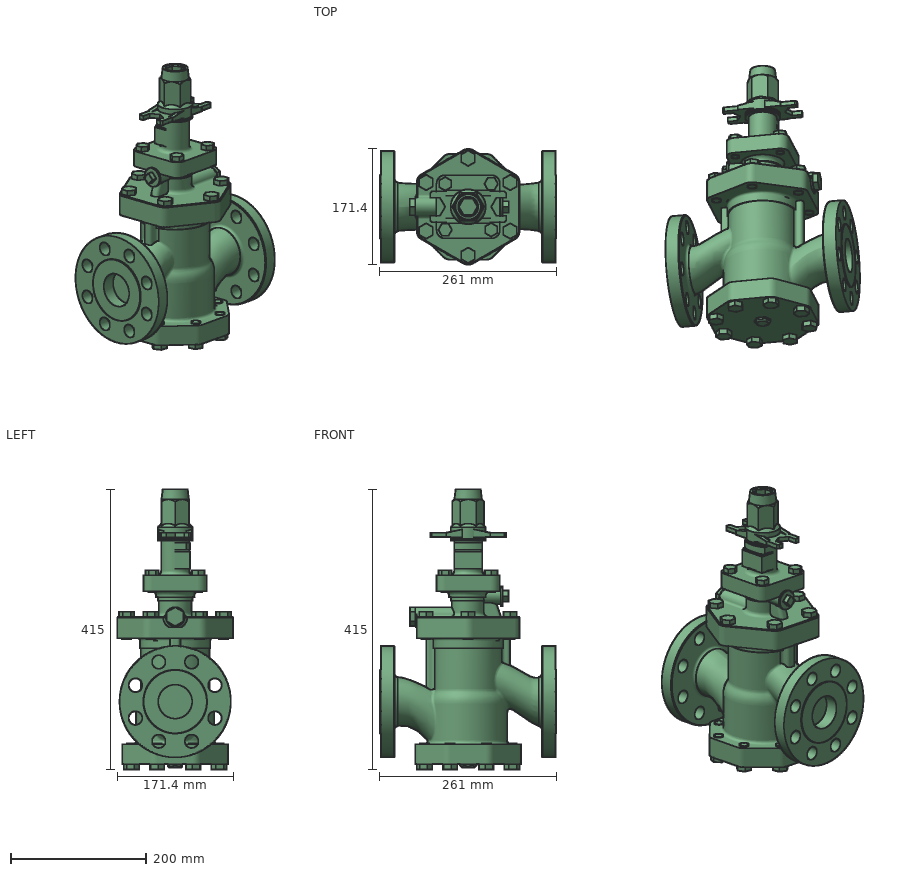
import cadquery as cq
import math

overall_height = 415.0
overall_length = 261.0
blend = 1.2

pipe_axis_z = 100.5
flange_dia = 165.0
flange_back_x = 108.5
raised_face_dia = 94.5
bore_dia = 50.0
bore_depth = 20.7
flange_hole_dia = 20.0
flange_hole_circle = 127.0
flange_hole_count = 8
pipe_radius = 36.5
hub_fillet = 4.5
pipe_root_fillet = 4.0

octagon_flats = 157.0
octagon_bottom_z = 8.0
octagon_top_z = 37.7
octagon_bolt_circle = 140.0
octagon_bolt_flats = 20.5
plug_flats = 21.5
plug_bottom_z = 2.5
plug_bottom_dia = 18.0
flange_corner_radius = 14.0

lower_radius = 58.0
upper_radius = 51.0
band_radius = 52.3
lower_fillet = 5.0
shoulder_start_z = 97.5
shoulder_middle_z = 113.0
shoulder_end_z = 119.0
band_z = 179.0
upper_fillet = 3.5
rib_reach = 62.2
rib_root_x = 49.8
rib_width = 15.0
rib_rounding = 4.5
rib_bottom_z = 116.0

hexagon_flats = 152.2
hexagon_bottom_z = 194.0
hexagon_seam_z = 210.7
hexagon_top_z = 226.0
hexagon_bolt_circle = 143.5
hexagon_bolt_flats = 20.0
hexagon_bolt_height = 7.5
large_bolt_tip_dia = 14.0

neck_radius = 24.5
neck_fillet = 6.2
neck_lip_z = 249.7
neck_lip_radius = 25.7
bowl_bottom_z = 255.0
bowl_bottom_radius = 28.5
bowl_top_radius = 32.5
square_side = 93.7
square_corner_radius = 13.0
square_bottom_z = 263.5
square_top_z = 287.5
square_bolt_offset = 34.0
square_bolt_flats = 17.5
square_bolt_height = 7.5
small_bolt_tip_dia = 12.0

inlet_boss_dia = 28.0
inlet_boss_end_x = 78.5
inlet_plug_end_x = 86.3
inlet_fillet = 4.5
outlet_boss_z = 256.5
outlet_boss_dia = 24.0
outlet_collar_dia = 29.0
outlet_collar_start_x = 48.5
outlet_boss_end_x = 51.5
outlet_plug_end_x = 59.7
outlet_plug_diagonal = 17.0
web_width = 15.0
web_top_x = 42.5
web_bottom_x = 48.5
web_rounding = 5.0

spindle_dia = 42.0
spindle_fillet = 6.2
plate_reach = 22.0
plate_bottom_z = 296.5
plate_groove_bottom_z = 322.5
plate_groove_top_z = 324.8
plate_top_z = 335.5
plate_groove_depth = 1.2
plate_edge_reach = 16.5

cap_bottom_z = 338.0
collar_dia = 52.0
collar_top_z = 358.5
collar_groove_bottom_z = 339.7
collar_groove_top_z = 341.5
collar_groove_depth = 1.0
cap_flats = 41.0
cap_cone_z = 399.5
cap_top_dia = 37.5
socket_flats = 24.0
socket_depth = 10.8
socket_chamfer = 2.0
handle_bottom_z = 344.0
handle_top_z = 350.5
handle_length = 112.0
handle_width = 45.5
handle_corner = 2.5
jaw_width = 26.5
jaw_root_x = 34.0
handle_rib_outer_y = 24.5
handle_rib_width = 8.0
handle_rib_inner_x = 7.0
handle_rib_outer_x = 32.5
handle_rib_high_z = 355.5


def corner_dia(flats, sides=6):
    """Diameter through the corners of a regular polygon given across its flats."""
    return flats / math.cos(math.pi / sides)


def prism(flats, z_low, z_high, sides=6, turn=0.0):
    """Upright regular prism on the Z axis; with turn = 0 it has a corner on +X."""
    return (
        cq.Workplane("XY").workplane(offset=z_low)
        .polygon(sides, corner_dia(flats, sides)).extrude(z_high - z_low)
        .rotate((0, 0, 0), (0, 0, 1), turn)
    )


def cylinder(dia, z_low, z_high):
    return cq.Workplane("XY").workplane(offset=z_low).circle(dia / 2).extrude(z_high - z_low)


def cylinder_x(dia, x_low, x_high, z):
    return (
        cq.Workplane("YZ").workplane(offset=x_low)
        .center(0, z).circle(dia / 2).extrude(x_high - x_low)
    )


def box(x_low, x_high, y_low, y_high, z_low, z_high):
    return cq.Workplane("XY").box(
        x_high - x_low, y_high - y_low, z_high - z_low, centered=False
    ).translate((x_low, y_low, z_low))


def turned(profile):
    """Solid of revolution about Z from a closed profile drawn as radius and height."""
    return profile.close().revolve(360, (0, 0, 0), (0, 1, 0))


def polar(circle_dia, count, start):
    """Points equally spaced on a circle, each with its angle."""
    points = []
    for i in range(count):
        angle = start + 360 * i / count
        x = circle_dia / 2 * math.cos(math.radians(angle))
        y = circle_dia / 2 * math.sin(math.radians(angle))
        points.append((x, y, angle))
    return points


def bottom_cover():
    cover = prism(octagon_flats, octagon_bottom_z, octagon_top_z, 8, 22.5)
    cover = cover.edges("|Z").fillet(flange_corner_radius)
    for x, y, angle in polar(octagon_bolt_circle, 8, 22.5):
        head = prism(octagon_bolt_flats, 0, octagon_bottom_z, 6, angle + 30)
        tip = cylinder(large_bolt_tip_dia, octagon_top_z, octagon_top_z + blend)
        cover = cover.union(head.translate((x, y, 0))).union(tip.translate((x, y, 0)))
    return cover.union(drain_plug())


def drain_plug():
    plug_corner_radius = corner_dia(plug_flats) / 2
    envelope = turned(
        cq.Workplane("XZ").moveTo(0, plug_bottom_z).lineTo(plug_bottom_dia / 2, plug_bottom_z)
        .lineTo(plug_corner_radius, octagon_bottom_z - blend)
        .lineTo(plug_corner_radius, octagon_bottom_z).lineTo(0, octagon_bottom_z)
    )
    return prism(plug_flats, plug_bottom_z, octagon_bottom_z).intersect(envelope)


def middle_flange():
    flange = prism(hexagon_flats, hexagon_bottom_z, hexagon_top_z, 6, 30)
    flange = flange.edges("|Z").fillet(flange_corner_radius).faces(">Z").edges().chamfer(blend)
    for x, y, angle in polar(hexagon_bolt_circle, 6, 30):
        head = prism(hexagon_bolt_flats, hexagon_top_z, hexagon_top_z + hexagon_bolt_height, 6, angle)
        tip = cylinder(large_bolt_tip_dia, hexagon_bottom_z - blend, hexagon_bottom_z)
        flange = flange.union(head.translate((x, y, 0))).union(tip.translate((x, y, 0)))
    return flange


def square_flange():
    half = square_side / 2
    flange = box(-half, half, -half, half, square_bottom_z, square_top_z)
    flange = flange.edges("|Z").fillet(square_corner_radius)
    for side_x in (-1, 1):
        for side_y in (-1, 1):
            place = (side_x * square_bolt_offset, side_y * square_bolt_offset, 0)
            turn = 0 if side_x == side_y else 30
            head = prism(square_bolt_flats, square_top_z, square_top_z + square_bolt_height, 6, turn)
            tip = cylinder(small_bolt_tip_dia, square_bottom_z - blend, square_bottom_z)
            flange = flange.union(head.translate(place)).union(tip.translate(place))
    return flange


def casting_barrel():
    """Stepped barrel between the bottom cover and the middle flange."""
    shoulder_share = (shoulder_middle_z - shoulder_start_z) / (shoulder_end_z - shoulder_start_z)
    shoulder_middle_radius = lower_radius - (lower_radius - upper_radius) * shoulder_share
    profile = cq.Workplane("XZ").moveTo(0, octagon_top_z).lineTo(lower_radius + lower_fillet, octagon_top_z)
    profile = profile.radiusArc((lower_radius, octagon_top_z + lower_fillet), lower_fillet)
    profile = profile.lineTo(lower_radius, shoulder_start_z)
    profile = profile.tangentArcPoint((shoulder_middle_radius, shoulder_middle_z), relative=False)
    profile = profile.tangentArcPoint((upper_radius, shoulder_end_z), relative=False)
    profile = profile.lineTo(upper_radius, band_z).lineTo(band_radius, band_z)
    profile = profile.lineTo(band_radius, hexagon_bottom_z - upper_fillet)
    profile = profile.radiusArc((band_radius + upper_fillet, hexagon_bottom_z), upper_fillet)
    return turned(profile.lineTo(0, hexagon_bottom_z))


def casting_ribs():
    """Rounded vertical ribs on the -X and +X sides of the barrel, with filleted roots."""
    flank = rib_width / 2
    root = flank + rib_rounding
    crown = flank - rib_rounding
    rib = (
        cq.Workplane("XY").workplane(offset=rib_bottom_z).moveTo(0, -root).lineTo(rib_root_x, -root)
        .radiusArc((rib_root_x + rib_rounding, -flank), rib_rounding)
        .lineTo(rib_reach - rib_rounding, -flank)
        .radiusArc((rib_reach, -crown), -rib_rounding)
        .lineTo(rib_reach, crown)
        .radiusArc((rib_reach - rib_rounding, flank), -rib_rounding)
        .lineTo(rib_root_x + rib_rounding, flank)
        .radiusArc((rib_root_x, root), rib_rounding)
        .lineTo(0, root).close().extrude(hexagon_bottom_z - rib_bottom_z)
    )
    return rib.union(rib.mirror("YZ"))


def pipe(sections):
    """Bent pipe through elliptical sections given as x, centre height, half height and half width."""
    wires = []
    for x, z, half_height, half_width in sections:
        plane = cq.Workplane("YZ").workplane(offset=x).center(0, z)
        wires.append(plane.ellipse(half_width, half_height).wires().val())
    outside_cover = box(
        -overall_length, overall_length, -flange_dia, flange_dia, octagon_top_z, hexagon_bottom_z
    )
    return cq.Workplane(cq.Solid.makeLoft(wires, False)).intersect(outside_cover)


def inlet_pipe():
    """Pipe from the inlet flange, bending down and widening into the barrel."""
    return pipe([
        (-flange_back_x, pipe_axis_z, pipe_radius, pipe_radius),
        (-84.0, 97.0, 35.0, 34.5),
        (-69.0, 88.8, 36.5, 34.0),
        (-49.8, 72.5, 43.5, 33.0),
        (-33.0, 56.0, 49.8, 32.5),
    ])


def outlet_pipe():
    """Pipe from the outlet flange, bending up into the barrel."""
    return pipe([
        (flange_back_x, pipe_axis_z, pipe_radius, pipe_radius),
        (93.7, 103.3, 34.0, 34.5),
        (81.5, 111.0, 32.8, 33.0),
        (70.5, 118.0, 32.5, 32.8),
        (49.8, 127.8, 31.5, 32.5),
        (25.0, 138.5, 31.0, 32.0),
    ])


def inlet_flange():
    face_x = -overall_length / 2
    flange = cylinder_x(flange_dia, face_x + blend, -flange_back_x, pipe_axis_z)
    flange = flange.faces(">X").edges().chamfer(blend)
    raised_face = cylinder_x(raised_face_dia, face_x, face_x + blend, pipe_axis_z)
    raised_face = raised_face.faces("<X").edges().chamfer(blend / 2)
    flange = flange.union(raised_face)
    hub = (
        cq.Workplane("XY", origin=(-flange_back_x, 0, pipe_axis_z)).lineTo(0, pipe_radius + hub_fillet)
        .radiusArc((hub_fillet, pipe_radius), -hub_fillet).lineTo(hub_fillet, 0)
        .close().revolve(360, (0, 0, 0), (1, 0, 0))
    )
    flange = flange.union(hub)
    for y, z, _ in polar(flange_hole_circle, flange_hole_count, 22.5):
        hole = cylinder_x(flange_hole_dia, face_x, -flange_back_x, pipe_axis_z + z)
        flange = flange.cut(hole.translate((0, y, 0)))
    return flange


def joined_with_fillet(base, branch, radius):
    """Union of two shapes with a fillet along the edges where their surfaces meet."""
    tolerance = 0.01
    joined = base.union(branch)

    def lies_on(edge, shape):
        for share in (0.3, 0.5, 0.7):
            point = cq.Vertex.makeVertex(*edge.positionAt(share).toTuple())
            if min(point.distance(face) for face in shape.faces().vals()) > tolerance:
                return False
        return True

    meeting = [edge for edge in joined.edges().vals() if lies_on(edge, base) and lies_on(edge, branch)]
    return joined.newObject(meeting).fillet(radius)


def casting():
    shape = joined_with_fillet(casting_barrel(), inlet_pipe(), pipe_root_fillet)
    shape = joined_with_fillet(shape, outlet_pipe(), pipe_root_fillet)
    shape = shape.union(casting_ribs())
    shape = shape.union(inlet_flange()).union(inlet_flange().mirror("YZ"))
    for end_x in (-overall_length / 2, overall_length / 2 - bore_depth):
        shape = shape.cut(cylinder_x(bore_dia, end_x, end_x + bore_depth, pipe_axis_z))
    return shape


def neck():
    """Neck that widens into a stepped bowl under the square flange."""
    profile = cq.Workplane("XZ").moveTo(0, hexagon_top_z).lineTo(neck_radius + neck_fillet, hexagon_top_z)
    profile = profile.radiusArc((neck_radius, hexagon_top_z + neck_fillet), neck_fillet)
    profile = profile.lineTo(neck_radius, neck_lip_z).lineTo(neck_lip_radius, neck_lip_z)
    profile = profile.lineTo(neck_lip_radius, bowl_bottom_z).lineTo(bowl_bottom_radius, bowl_bottom_z)
    profile = profile.radiusArc((bowl_top_radius, square_bottom_z), bowl_top_radius - bowl_bottom_radius + 4)
    return turned(profile.lineTo(0, square_bottom_z))


def inlet_boss():
    """Boss along -X, half sunk in the middle flange, with a hexagonal plug in its end."""
    radius = inlet_boss_dia / 2
    flange_face_x = hexagon_flats / 2
    foot_y = math.sqrt((radius + inlet_fillet) ** 2 - inlet_fillet ** 2)
    touch_share = radius / (radius + inlet_fillet)
    touch_y = foot_y * touch_share
    touch_z = inlet_fillet * touch_share
    boss = (
        cq.Workplane("YZ", origin=(-flange_face_x, 0, hexagon_top_z)).moveTo(-foot_y, 0)
        .radiusArc((-touch_y, touch_z), -inlet_fillet)
        .radiusArc((touch_y, touch_z), radius)
        .radiusArc((foot_y, 0), -inlet_fillet)
        .close().extrude(flange_face_x)
    )
    nose = cylinder_x(inlet_boss_dia, -inlet_boss_end_x, -flange_face_x, hexagon_top_z)
    flare = cq.Workplane("YZ").workplane(offset=-flange_face_x).center(0, hexagon_top_z)
    flare = flare.circle(foot_y).workplane(offset=flange_face_x - inlet_boss_end_x)
    flare = flare.circle(radius).loft()
    flare = flare.intersect(box(-overall_length, 0, -foot_y, foot_y, 0, hexagon_top_z))
    nose = nose.union(flare)
    nose = nose.intersect(box(-overall_length, 0, -foot_y, foot_y, hexagon_seam_z, square_top_z))
    plug = prism(inlet_boss_dia * math.cos(math.pi / 6), inlet_boss_end_x, inlet_plug_end_x)
    plug = plug.rotate((0, 0, 0), (0, 1, 0), -90).translate((0, 0, hexagon_top_z))
    return boss.union(nose).union(plug)


def outlet_boss():
    """Boss along +X under the square flange with a square plug, carried by a sloping web."""
    boss = cylinder_x(outlet_boss_dia, 0, outlet_boss_end_x, outlet_boss_z)
    collar = cylinder_x(outlet_collar_dia, outlet_collar_start_x, outlet_boss_end_x, outlet_boss_z)
    plug = cq.Workplane("YZ").workplane(offset=outlet_boss_end_x).center(0, outlet_boss_z)
    plug = plug.polygon(4, outlet_plug_diagonal).extrude(outlet_plug_end_x - outlet_boss_end_x)
    web = (
        cq.Workplane("XZ").moveTo(0, hexagon_top_z).lineTo(web_bottom_x, hexagon_top_z)
        .lineTo(web_top_x, outlet_boss_z - outlet_boss_dia / 2).lineTo(0, outlet_boss_z).close()
        .extrude(web_width / 2, both=True)
        .faces(">X").edges("not |Y").fillet(web_rounding)
    )
    return boss.union(collar).union(plug).union(web)


def spindle_housing():
    radius = spindle_dia / 2
    profile = cq.Workplane("XZ").moveTo(0, square_top_z).lineTo(radius + spindle_fillet, square_top_z)
    profile = profile.radiusArc((radius, square_top_z + spindle_fillet), spindle_fillet)
    return turned(profile.lineTo(radius, cap_bottom_z).lineTo(0, cap_bottom_z)).union(plate_pads())


def plate_pads():
    """Flat pad on the -Y side with a bowed pad above it, parted by a groove."""
    half = spindle_dia / 2
    inset = plate_groove_depth
    flat_pad = box(-half, half, -plate_reach, 0, plate_bottom_z, plate_groove_bottom_z)
    groove_floor = box(
        inset - half, half - inset, inset - plate_reach, 0, plate_groove_bottom_z, plate_groove_top_z
    )
    bowed_pad = (
        cq.Workplane("XY").workplane(offset=plate_groove_top_z).moveTo(-half, 0)
        .lineTo(-half, -plate_edge_reach).threePointArc((0, -plate_reach), (half, -plate_edge_reach))
        .lineTo(half, 0).close().extrude(plate_top_z - plate_groove_top_z)
    )
    return flat_pad.union(groove_floor).union(bowed_pad)


def cap_turned_envelope():
    """Cone and corner chamfers that trim the hexagonal part of the cap."""
    corner_radius = corner_dia(cap_flats) / 2
    flats_radius = cap_flats / 2
    return turned(
        cq.Workplane("XZ").moveTo(0, collar_top_z).lineTo(corner_radius, collar_top_z)
        .lineTo(corner_radius, cap_cone_z - corner_radius + flats_radius)
        .lineTo(flats_radius, cap_cone_z)
        .lineTo(cap_top_dia / 2, overall_height).lineTo(0, overall_height)
    )


def cap_collar():
    radius = collar_dia / 2
    flats_radius = cap_flats / 2
    return turned(
        cq.Workplane("XZ").moveTo(0, cap_bottom_z).lineTo(radius, cap_bottom_z)
        .lineTo(radius, collar_groove_bottom_z)
        .lineTo(radius - collar_groove_depth, collar_groove_bottom_z)
        .lineTo(radius - collar_groove_depth, collar_groove_top_z)
        .lineTo(radius, collar_groove_top_z).lineTo(radius, collar_top_z)
        .lineTo(flats_radius, collar_top_z + radius - flats_radius)
        .lineTo(0, collar_top_z + radius - flats_radius)
    )


def cap_socket():
    socket = prism(socket_flats, overall_height - socket_depth, overall_height)
    rim_radius = corner_dia(socket_flats) / 2
    mouth = cq.Workplane("XY").workplane(offset=overall_height).circle(rim_radius + socket_chamfer / 2)
    return socket.union(mouth.extrude(-socket_chamfer, taper=45))


def handle_plate():
    half_length = handle_length / 2
    half_width = handle_width / 2
    plate = box(-half_length, half_length, -half_width, half_width, handle_bottom_z, handle_top_z)
    plate = plate.edges("|Z").chamfer(handle_corner)
    half_jaw = jaw_width / 2
    jaw_flat_x = jaw_root_x + half_jaw / math.tan(math.radians(60))
    for side in (-1, 1):
        jaw = cq.Workplane("XY").workplane(offset=handle_bottom_z).polyline([
            (side * half_length, -half_jaw),
            (side * jaw_flat_x, -half_jaw),
            (side * jaw_root_x, 0),
            (side * jaw_flat_x, half_jaw),
            (side * half_length, half_jaw),
        ]).close().extrude(handle_top_z - handle_bottom_z)
        plate = plate.cut(jaw)
    return plate


def handle_ribs():
    """Four sloping ribs that stiffen the handle beside the collar."""
    rib = (
        cq.Workplane("XZ", origin=(0, -handle_rib_outer_y + handle_rib_width, 0))
        .moveTo(handle_rib_inner_x, handle_bottom_z).lineTo(handle_rib_outer_x, handle_bottom_z)
        .lineTo(handle_rib_outer_x, handle_top_z).lineTo(handle_rib_inner_x, handle_rib_high_z)
        .close().extrude(handle_rib_width)
    )
    pair = rib.union(rib.mirror("YZ"))
    return pair.union(pair.mirror("XZ"))


def make_cap():
    hexagon = prism(cap_flats, collar_top_z, overall_height).intersect(cap_turned_envelope())
    cap = cap_collar().union(hexagon).union(handle_plate()).union(handle_ribs())
    return cap.cut(cap_socket())


def make_valve():
    valve = bottom_cover()
    for feature in (casting, middle_flange, neck, square_flange, inlet_boss, outlet_boss, spindle_housing):
        valve = valve.union(feature())
    return valve


valve = make_valve()
cap = make_cap()
result = cq.Compound.makeCompound([valve.val(), cap.val()])